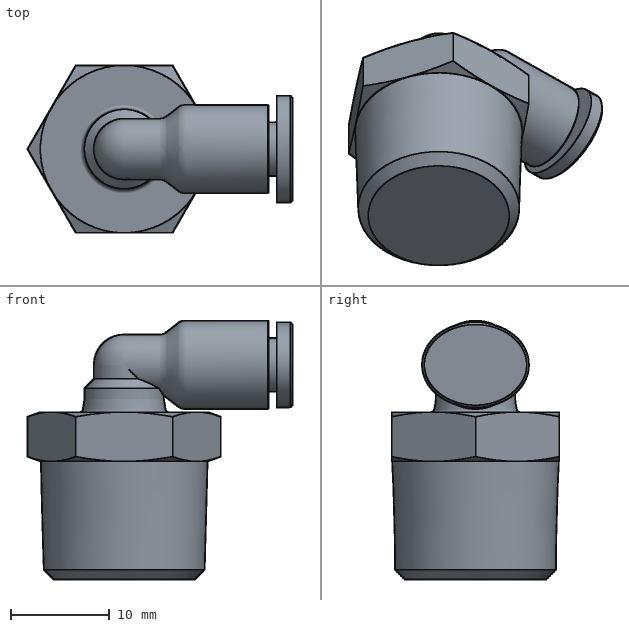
import cadquery as cq
import math

HEX_ACROSS_FLATS = 17.0
HEX_CORNER_RADIUS = HEX_ACROSS_FLATS / math.sqrt(3)
HEX_BOTTOM = 12.0
HEX_TOP = 17.0
HEX_CHAMFER_ANGLE = 20.0

SHANK_TOP_RADIUS = 8.48
SHANK_BOTTOM_RADIUS = 8.18
SHANK_CHAMFER = 1.02

NECK_BASE_RADIUS = 4.25
NECK_RADIUS = 4.04
NECK_TAPER_TOP = 18.35
NECK_SHOULDER = 19.43
NECK_ROOT_FILLET = 0.3

TUBE_RADIUS = 3.1
ARM_HEIGHT = 21.8
NECK_CHAMFER_TOP = NECK_SHOULDER + NECK_RADIUS - TUBE_RADIUS

TOTAL_LENGTH = 26.9
ARM_END = TOTAL_LENGTH - HEX_CORNER_RADIUS
SOCKET_RADIUS = 4.5
CONE_START = 3.98
CONE_END = 5.79
CONE_FILLET = 1.0
SOCKET_END = 14.67
SOCKET_EDGE_CHAMFER = 0.08
STEM_RADIUS = 2.75
STEM_ROOT_FILLET = 0.05

COLLAR_START = 15.47
COLLAR_HALF_WIDTH = 5.44
COLLAR_HALF_HEIGHT = 4.33
COLLAR_CHAMFER = 0.25

PICK_MARGIN = 0.03


def ring_selector(axis, position, radius):
    """Select edges lying in the plane at position along axis, up to radius from that axis."""
    reach = radius + PICK_MARGIN
    lower = [-reach, -reach, -reach]
    upper = [reach, reach, reach]
    index = "XYZ".index(axis)
    lower[index] = position - PICK_MARGIN
    upper[index] = position + PICK_MARGIN
    return cq.selectors.BoxSelector(lower, upper, boundingbox=True)


def make_hexagon():
    """Hexagon prism with its corners turned down by a cone at both ends."""
    height = HEX_TOP - HEX_BOTTOM
    flat_radius = HEX_ACROSS_FLATS / 2
    corner_run = HEX_CORNER_RADIUS - flat_radius
    corner_drop = corner_run * math.tan(math.radians(HEX_CHAMFER_ANGLE))
    prism = (
        cq.Workplane("XY", origin=(0, 0, HEX_BOTTOM))
        .polygon(6, 2 * HEX_CORNER_RADIUS)
        .extrude(height)
    )
    turned_blank = (
        cq.Workplane("XY", origin=(0, 0, HEX_BOTTOM))
        .circle(HEX_CORNER_RADIUS)
        .extrude(height)
        .faces("<Z or >Z")
        .chamfer(corner_drop, corner_run)
    )
    return prism.intersect(turned_blank)


def make_shank():
    """Tapered shank with a 45 degree lead-in chamfer at the bottom."""
    profile = [
        (0, 0),
        (SHANK_BOTTOM_RADIUS - SHANK_CHAMFER, 0),
        (SHANK_BOTTOM_RADIUS, SHANK_CHAMFER),
        (SHANK_TOP_RADIUS, HEX_BOTTOM),
        (0, HEX_BOTTOM),
    ]
    return cq.Workplane("XZ").polyline(profile).close().revolve(360, (0, 0), (0, 1))


def make_neck():
    """Turned neck that tapers up to the vertical tube of the elbow."""
    profile = [
        (0, HEX_TOP),
        (NECK_BASE_RADIUS, HEX_TOP),
        (NECK_RADIUS, NECK_TAPER_TOP),
        (NECK_RADIUS, NECK_SHOULDER),
        (TUBE_RADIUS, NECK_CHAMFER_TOP),
        (TUBE_RADIUS, ARM_HEIGHT),
        (0, ARM_HEIGHT),
    ]
    return cq.Workplane("XZ").polyline(profile).close().revolve(360, (0, 0), (0, 1))


def make_arm():
    """Tube, blended cone, socket and stem, revolved about the arm axis."""
    profile = [
        (0, 0),
        (0, TUBE_RADIUS),
        (CONE_START, TUBE_RADIUS),
        (CONE_END, SOCKET_RADIUS),
        (SOCKET_END, SOCKET_RADIUS),
        (SOCKET_END, STEM_RADIUS),
        (COLLAR_START, STEM_RADIUS),
        (COLLAR_START, 0),
    ]
    arm = cq.Workplane("XZ").polyline(profile).close().revolve(360, (0, 0), (1, 0))

    arm = arm.edges(ring_selector("X", CONE_START, SOCKET_RADIUS)).fillet(CONE_FILLET)
    arm = arm.edges(ring_selector("X", CONE_END, SOCKET_RADIUS)).fillet(CONE_FILLET)
    socket_rim = cq.selectors.RadiusNthSelector(-1)
    socket_end_edges = arm.edges(ring_selector("X", SOCKET_END, SOCKET_RADIUS))
    return socket_end_edges.edges(socket_rim).chamfer(SOCKET_EDGE_CHAMFER)


def make_collar():
    """Oval collar with a chamfered outer rim."""
    return (
        cq.Workplane("YZ", origin=(COLLAR_START, 0, 0))
        .ellipse(COLLAR_HALF_WIDTH, COLLAR_HALF_HEIGHT)
        .extrude(ARM_END - COLLAR_START)
        .faces(">X")
        .chamfer(COLLAR_CHAMFER)
    )


def make_base():
    """Shank, hexagon and neck, with a fillet where the neck rises from the hexagon."""
    base = make_hexagon().union(make_shank()).union(make_neck())
    neck_root = ring_selector("Z", HEX_TOP, NECK_BASE_RADIUS)
    return base.edges(neck_root).fillet(NECK_ROOT_FILLET)


def make_outlet():
    """Arm, collar and elbow ball, with a small fillet where the stem meets the collar."""
    outlet = make_arm().union(make_collar())
    stem_root = ring_selector("X", COLLAR_START, STEM_RADIUS)
    outlet = outlet.edges(stem_root).fillet(STEM_ROOT_FILLET)
    elbow_ball = cq.Workplane("XY").sphere(TUBE_RADIUS)
    return outlet.union(elbow_ball).translate((0, 0, ARM_HEIGHT))


result = make_base().union(make_outlet())